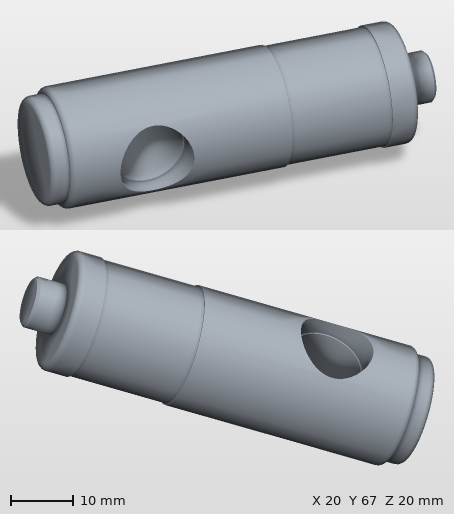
import cadquery as cq

total_length = 67.0
outer_diameter = 20.0
edge_radius = 1.0

nose_diameter = outer_diameter - 2 * edge_radius
nose_length = 3.0
barrel_length = 37.45
waist_diameter = 19.5
waist_length = 17.0
collar_length = 4.55

cross_hole_diameter = 12.0
counterbore_diameter = 12.5
cross_hole_from_front = 17.55
counterbore_inset = 4.9

pin_diameter = 8.5
pin_chamfer = 0.5

front_y = -total_length / 2
pin_end_y = total_length / 2
shoulder_y = front_y + nose_length
waist_y = shoulder_y + barrel_length
collar_y = waist_y + waist_length
rear_y = collar_y + collar_length
cross_hole_y = front_y + cross_hole_from_front
counterbore_floor_x = outer_diameter / 2 - counterbore_inset

pin_projection = pin_end_y - rear_y
pin_seat_y = rear_y - pin_projection


def cylinder_along_y(diameter, start_y, end_y):
    """Cylinder on the Y axis between two stations."""
    return cq.Workplane("XZ", origin=(0, start_y, 0)).circle(diameter / 2).extrude(start_y - end_y)


def cylinder_along_x(diameter, start_x, end_x):
    """Cutter parallel to X, centred on the cross hole."""
    return cq.Workplane("YZ", origin=(start_x, cross_hole_y, 0)).circle(diameter / 2).extrude(end_x - start_x)


def make_turned_blank():
    """Housing without holes, revolved about the Y axis."""
    nose_radius = nose_diameter / 2
    outer_radius = outer_diameter / 2
    waist_radius = waist_diameter / 2
    return (
        cq.Workplane("XY")
        .moveTo(0, front_y)
        .lineTo(nose_radius - edge_radius, front_y)
        .radiusArc((nose_radius, front_y + edge_radius), -edge_radius)
        .lineTo(nose_radius, shoulder_y)
        .radiusArc((outer_radius, shoulder_y + edge_radius), -edge_radius)
        .lineTo(outer_radius, waist_y)
        .lineTo(waist_radius, waist_y)
        .lineTo(waist_radius, collar_y)
        .lineTo(outer_radius, collar_y)
        .lineTo(outer_radius, rear_y - edge_radius)
        .radiusArc((outer_radius - edge_radius, rear_y), -edge_radius)
        .lineTo(0, rear_y)
        .close()
        .revolve(360, (0, 0, 0), (0, 1, 0))
    )


def make_housing():
    """Turned blank with the stepped cross hole and the blind pin hole."""
    body = make_turned_blank()
    body = body.cut(cylinder_along_x(cross_hole_diameter, -outer_diameter, outer_diameter))
    for side in (-1, 1):
        body = body.cut(cylinder_along_x(counterbore_diameter, side * outer_diameter, side * counterbore_floor_x))
    return body.cut(cylinder_along_y(pin_diameter, pin_seat_y, rear_y))


def make_pin():
    """Plain pin with a chamfered outer end."""
    return cylinder_along_y(pin_diameter, pin_seat_y, pin_end_y).faces(">Y").edges().chamfer(pin_chamfer)


housing = make_housing()
pin = make_pin()

result = cq.Compound.makeCompound([housing.val(), pin.val()])